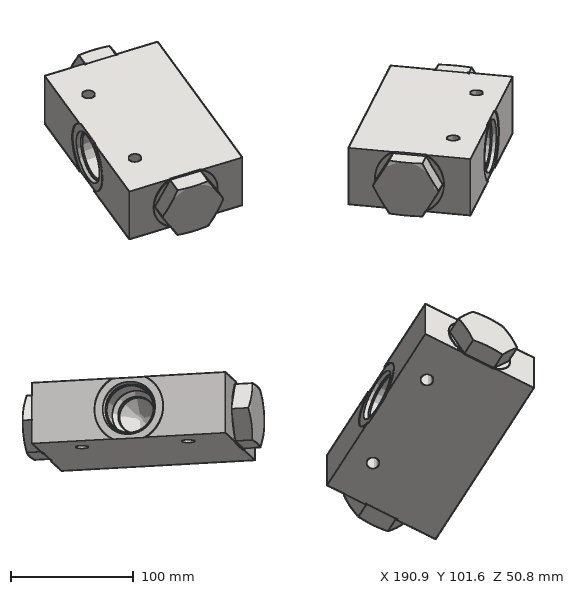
import cadquery as cq
import math

overall_length = 190.88
block_length = 161.925
block_depth = 101.6
block_height = 50.8

spotface_diameter = 57.5
spotface_depth = 0.8

port_mouth_diameter = 43.94
seal_cone_diameter = 41.27
seal_cone_depth = 3.3
port_bore_diameter = 39.06
port_bore_depth = 23.0
inner_bore_diameter = 30.6
inner_bore_length = 5.0
drill_tip_angle = 118.0

mount_hole_diameter = 10.3
mount_hole_spacing = 88.9
mount_hole_from_front = 22.225

hex_across_flats = 47.625
hex_chamfer_angle = 15.0

front_face_y = -block_depth / 2
port_floor_y = front_face_y + spotface_depth
plug_seat_x = block_length / 2 - spotface_depth
plug_length = overall_length / 2 - plug_seat_x
hex_across_corners = hex_across_flats / math.cos(math.radians(30))


def drill_drop(radius_change):
    """Axial length of a drill-tip cone over a given change of radius."""
    return radius_change / math.tan(math.radians(drill_tip_angle / 2))


def make_port_cutter():
    """Revolved port cavity about a Y axis, entering from the front spotface."""
    mouth_radius = port_mouth_diameter / 2
    seal_radius = seal_cone_diameter / 2
    bore_radius = port_bore_diameter / 2
    inner_radius = inner_bore_diameter / 2

    seal_y = port_floor_y + seal_cone_depth
    bore_start_y = seal_y + seal_radius - bore_radius
    bore_end_y = port_floor_y + port_bore_depth
    inner_start_y = bore_end_y + drill_drop(bore_radius - inner_radius)
    inner_end_y = inner_start_y + inner_bore_length
    tip_y = inner_end_y + drill_drop(inner_radius)

    return (
        cq.Workplane("XY")
        .moveTo(0, port_floor_y)
        .lineTo(mouth_radius, port_floor_y)
        .lineTo(seal_radius, seal_y)
        .lineTo(bore_radius, bore_start_y)
        .lineTo(bore_radius, bore_end_y)
        .lineTo(inner_radius, inner_start_y)
        .lineTo(inner_radius, inner_end_y)
        .lineTo(0, tip_y)
        .close()
        .revolve(360, (0, 0, 0), (0, 1, 0))
    )


def make_block():
    """Valve block with three spotfaces, the front port and two mounting holes."""
    block = cq.Workplane("XY").box(block_length, block_depth, block_height)
    for face in ("<X", ">X", "<Y"):
        spotface = (
            block.faces(face)
            .workplane(centerOption="CenterOfBoundBox")
            .circle(spotface_diameter / 2)
            .extrude(-spotface_depth, combine=False)
        )
        block = block.cut(spotface)

    mount_hole_y = front_face_y + mount_hole_from_front
    mount_holes = (
        cq.Workplane("XY")
        .pushPoints([(side * mount_hole_spacing / 2, mount_hole_y) for side in (-1, 1)])
        .circle(mount_hole_diameter / 2)
        .extrude(block_height / 2, both=True)
    )
    return block.cut(make_port_cutter()).cut(mount_holes)


def make_plug(side):
    """Hexagonal plug on the +X (side = 1) or -X (side = -1) spotface, flats up and down."""
    hexagon = (
        cq.Workplane("YZ")
        .polygon(6, hex_across_corners)
        .extrude(plug_length)
    )

    flat_radius = hex_across_flats / 2
    corner_radius = hex_across_corners / 2
    corner_drop = (corner_radius - flat_radius) * math.tan(math.radians(hex_chamfer_angle))
    envelope = (
        cq.Workplane("XY")
        .lineTo(0, corner_radius)
        .lineTo(plug_length - corner_drop, corner_radius)
        .lineTo(plug_length, flat_radius)
        .lineTo(plug_length, 0)
        .close()
        .revolve(360, (0, 0, 0), (1, 0, 0))
    )
    plug = hexagon.intersect(envelope).translate((plug_seat_x, 0, 0))
    if side < 0:
        plug = plug.mirror("YZ")
    return plug


block = make_block()
plugs = [make_plug(side) for side in (-1, 1)]

result = cq.Compound.makeCompound([block.val(), *[plug.val() for plug in plugs]])